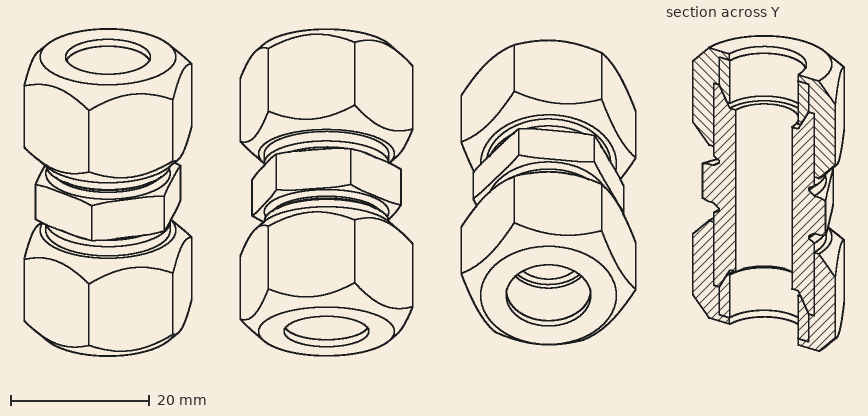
import cadquery as cq
import math

total_length = 43.0
half_length = total_length / 2
bore_radius = 5.0

nut_across_flats = 22.0
nut_height = 15.52
nut_face_radius = 9.8
nut_chamfer_angle = 45.0
nut_bore_radius = 6.1
nut_lip_thickness = 1.08

ferrule_bore_radius = 6.05
ferrule_length = 6.8
ferrule_tip_wall = 0.45
seat_half_angle = 30.0
seat_height = 3.22
seat_slope = math.tan(math.radians(seat_half_angle))

body_across_flats = 19.0
hex_height = 6.0
hex_face_radius = 10.0
hex_chamfer_angle = 15.0
thread_radius = 9.0
neck_radius = 8.0
shoulder_radius = thread_radius
shoulder_height = 0.65
neck_height = 0.3
thread_start = 4.5

ferrule_top = half_length - nut_lip_thickness
ferrule_tip = ferrule_top - ferrule_length
seat_bottom = ferrule_tip - ferrule_tip_wall / seat_slope
body_end = seat_bottom + seat_height
ferrule_tip_radius = ferrule_bore_radius + ferrule_tip_wall
collar_radius = ferrule_bore_radius + seat_height * seat_slope


def cylinder(radius, z_bottom, z_top):
    return cq.Workplane("XY").workplane(offset=z_bottom).circle(radius).extrude(z_top - z_bottom)


def revolve_profile(points):
    """Solid of revolution about Z from a closed outline of (radius, z) points."""
    return cq.Workplane("XZ").polyline(points).close().revolve(360, (0, 0, 0), (0, 1, 0))


def chamfered_hexagon(across_flats, z_bottom, z_top, face_radius, chamfer_angle):
    """Hexagonal prism, corners on the X axis, with conical chamfers at both ends."""
    corner_radius = across_flats / math.sqrt(3)
    drop = (corner_radius - face_radius) * math.tan(math.radians(chamfer_angle))
    prism = (
        cq.Workplane("XY")
        .workplane(offset=z_bottom)
        .polygon(6, 2 * corner_radius)
        .extrude(z_top - z_bottom)
    )
    envelope = revolve_profile([
        (0, z_bottom),
        (face_radius, z_bottom),
        (corner_radius, z_bottom + drop),
        (corner_radius, z_top - drop),
        (face_radius, z_top),
        (0, z_top),
    ])
    return prism.intersect(envelope)


def other_end(part):
    """Copy of an upper part turned over to the lower end."""
    return part.rotate((0, 0, 0), (1, 0, 0), 180)


def make_nut():
    nut_bottom = half_length - nut_height
    nut = chamfered_hexagon(
        nut_across_flats, nut_bottom, half_length, nut_face_radius, nut_chamfer_angle
    )
    nut = nut.cut(cylinder(nut_bore_radius, nut_bottom, half_length))
    nut = nut.cut(cylinder(collar_radius, body_end, ferrule_top))
    return nut.cut(cylinder(thread_radius, nut_bottom, body_end))


def make_ferrule():
    """Sleeve with a tapered nose and a straight collar held under the nut lip."""
    return revolve_profile([
        (ferrule_bore_radius, ferrule_tip),
        (ferrule_tip_radius, ferrule_tip),
        (collar_radius, body_end),
        (collar_radius, ferrule_top),
        (ferrule_bore_radius, ferrule_top),
    ])


def make_threaded_end():
    """Stub with an undercut neck and a conical mouth, rising from the middle of the body."""
    hex_top = hex_height / 2
    neck_start = hex_top + shoulder_height
    return revolve_profile([
        (0, 0),
        (shoulder_radius, 0),
        (shoulder_radius, hex_top),
        (neck_radius, neck_start),
        (neck_radius, neck_start + neck_height),
        (thread_radius, thread_start),
        (thread_radius, body_end),
        (collar_radius, body_end),
        (ferrule_bore_radius, seat_bottom),
        (0, seat_bottom),
    ])


def make_body():
    body = chamfered_hexagon(
        body_across_flats, -hex_height / 2, hex_height / 2, hex_face_radius, hex_chamfer_angle
    )
    threaded_end = make_threaded_end()
    for end in (threaded_end, other_end(threaded_end)):
        body = body.union(end)
    return body.cut(cylinder(bore_radius, -half_length, half_length))


def both_ends(upper_part):
    """Upper part and its lower counterpart, as separate solids."""
    return [part.val() for part in (upper_part, other_end(upper_part))]


body = make_body()
nuts = both_ends(make_nut())
ferrules = both_ends(make_ferrule())

result = cq.Compound.makeCompound([body.val(), *nuts, *ferrules])